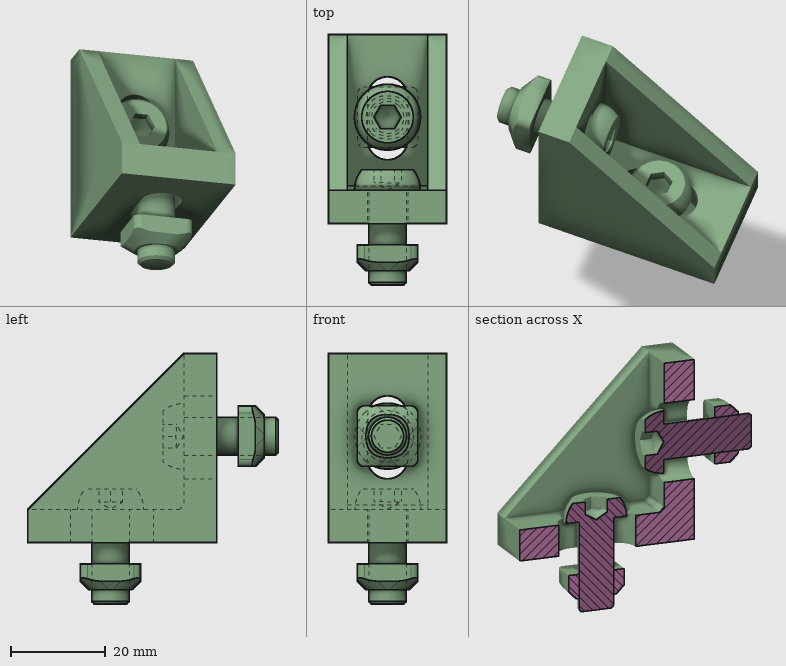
import cadquery as cq
import math

width = 25.0
leg_length = 40.0
plate_thickness = 7.0
cheek_thickness = 4.0
inner_corner_chamfer = 1.0

slot_width = 8.5
slot_start = 13.5
slot_end = 31.0

screw_position = 22.5
shank_diameter = 8.0
tip_diameter = 6.8
head_diameter = 14.0
head_height = 4.4
screw_reach = 13.0
socket_across_flats = 5.0
socket_depth = 2.6
socket_point_angle = 120.0

nut_width = 12.8
nut_corner_radius = 1.5
nut_gap = 4.5
nut_height = 5.5
nut_taper = 1.85
nut_hip_radius = 6.0


def swap_legs(body):
    """Half turn about the bisector of the legs: carries the horizontal leg onto the upright one."""
    return body.rotate((0, 0, 0), (0, 1, 1), 180)


def make_slot():
    """Round-ended cutter through the horizontal plate."""
    return (
        cq.Workplane("XY")
        .center(0, (slot_start + slot_end) / 2)
        .slot2D(slot_end - slot_start, slot_width, 90)
        .extrude(plate_thickness)
    )


def make_bracket():
    body = (
        cq.Workplane("YZ")
        .polyline([
            (0, 0),
            (leg_length, 0),
            (leg_length, plate_thickness),
            (plate_thickness, leg_length),
            (0, leg_length),
        ])
        .close()
        .extrude(width / 2, both=True)
    )
    corner = plate_thickness + inner_corner_chamfer
    channel = (
        cq.Workplane("YZ")
        .polyline([
            (corner, plate_thickness),
            (leg_length, plate_thickness),
            (leg_length, leg_length),
            (plate_thickness, leg_length),
            (plate_thickness, corner),
        ])
        .close()
        .extrude(width / 2 - cheek_thickness, both=True)
    )
    slot = make_slot()
    return body.cut(channel).cut(slot).cut(swap_legs(slot))


def make_socket():
    """Hexagonal cutter whose bottom is a drill point."""
    corner_radius = socket_across_flats / math.sqrt(3)
    point_depth = corner_radius / math.tan(math.radians(socket_point_angle / 2))
    top = plate_thickness + head_height
    hexagon = (
        cq.Workplane("XY", origin=(0, 0, top))
        .polygon(6, 2 * corner_radius)
        .extrude(-(socket_depth + point_depth))
    )
    drill = (
        cq.Workplane("XZ")
        .polyline([
            (0, top),
            (corner_radius, top),
            (corner_radius, top - socket_depth),
            (0, top - socket_depth - point_depth),
        ])
        .close()
        .revolve(360, (0, 0), (0, 1))
    )
    return hexagon.intersect(drill)


def make_screw():
    """Screw through the horizontal plate, with its head resting on the plate."""
    head_radius = head_diameter / 2
    shank_radius = shank_diameter / 2
    tip_radius = tip_diameter / 2
    tip_chamfer = shank_radius - tip_radius

    mid_height = head_height / 2
    mid_radius = math.sqrt(head_radius**2 - mid_height**2)
    top_radius = math.sqrt(head_radius**2 - head_height**2)
    body = (
        cq.Workplane("XZ")
        .moveTo(0, -screw_reach)
        .lineTo(tip_radius, -screw_reach)
        .lineTo(shank_radius, -screw_reach + tip_chamfer)
        .lineTo(shank_radius, plate_thickness)
        .lineTo(head_radius, plate_thickness)
        .threePointArc(
            (mid_radius, plate_thickness + mid_height),
            (top_radius, plate_thickness + head_height),
        )
        .lineTo(0, plate_thickness + head_height)
        .close()
        .revolve(360, (0, 0), (0, 1))
    )
    return body.cut(make_socket()).translate((0, screw_position, 0))


def make_nut():
    """Slot nut below the horizontal plate."""
    nut_top = -nut_gap
    block = (
        cq.Workplane("XY", origin=(0, 0, nut_top))
        .rect(nut_width, nut_width)
        .extrude(-nut_height)
        .edges("|Z")
        .fillet(nut_corner_radius)
    )
    small_width = nut_width - 2 * nut_taper
    large_width = small_width + 2 * nut_height
    taper = (
        cq.Workplane("XY", origin=(0, 0, nut_top))
        .rect(large_width, large_width)
        .extrude(-nut_height, taper=45)
        .edges("not(|X or |Y)")
        .fillet(nut_hip_radius)
    )
    bore = (
        cq.Workplane("XY", origin=(0, 0, nut_top))
        .circle(shank_diameter / 2)
        .extrude(-nut_height)
    )
    return block.intersect(taper).cut(bore).translate((0, screw_position, 0))


bracket = make_bracket()
bodies = [bracket.val()]
for make_fastener in (make_screw, make_nut):
    fastener = make_fastener()
    bodies.append(fastener.val())
    bodies.append(swap_legs(fastener).val())

result = cq.Compound.makeCompound(bodies)